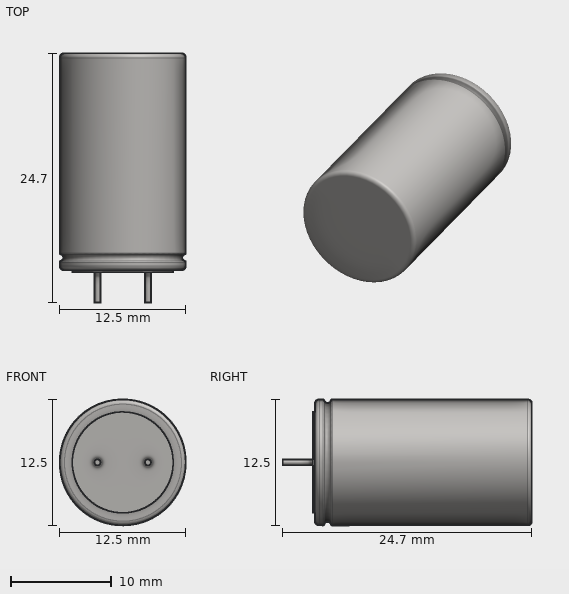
import cadquery as cq

can_diameter = 12.5
can_length = 21.5
end_fillet = 0.45

groove_from_rim = 1.26
groove_radius = 0.35
groove_lip_fillet = 0.15

plug_diameter = 10.0
plug_protrusion = 0.2

lead_diameter = 0.6
lead_pitch = 5.0
lead_length = 3.0

can_radius = can_diameter / 2
plug_face_y = lead_length
rim_y = plug_face_y + plug_protrusion
closed_end_y = rim_y + can_length
groove_y = rim_y + groove_from_rim


def rod(diameter, start_y, end_y, center_x=0.0):
    """Round bar parallel to Y between two Y positions."""
    return (
        cq.Workplane("XZ", origin=(center_x, start_y, 0))
        .circle(diameter / 2)
        .extrude(start_y - end_y)
    )


def groove_cutter():
    """Torus centered on the can wall; its inner half forms the crimp groove."""
    return (
        cq.Workplane("XY")
        .center(can_radius, groove_y)
        .circle(groove_radius)
        .revolve(360, (-can_radius, 0, 0), (-can_radius, 1, 0))
    )


def can():
    """Aluminium can with rounded ends and a round-lipped crimp groove near the lead side."""
    body = rod(can_diameter, rim_y, closed_end_y).cut(groove_cutter())
    body = body.faces("<Y or >Y").edges().fillet(end_fillet)
    zone_reach = 2 * groove_radius
    groove_zone = cq.selectors.BoxSelector(
        (-can_radius, groove_y - zone_reach, -can_radius),
        (can_radius, groove_y + zone_reach, can_radius),
    )
    lips = body.edges(groove_zone).edges("%CIRCLE").edges(cq.selectors.RadiusNthSelector(-1))
    return lips.fillet(groove_lip_fillet)


def plug():
    """Rubber plug closing the lead side, standing slightly out of the can."""
    return rod(plug_diameter, plug_face_y, rim_y)


result = can().union(plug())
for side in (-1, 1):
    result = result.union(rod(lead_diameter, 0, plug_face_y, side * lead_pitch / 2))